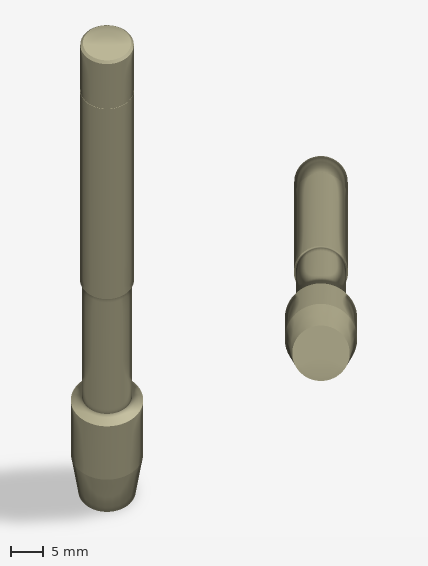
import math

import cadquery as cq

total_length = 100.0

head_diameter = 11.1
lead_tip_diameter = 8.8
lead_length = 8.4
head_cylinder_top = 20.3
head_back_diameter = 8.9

neck_diameter = 7.7
grip_diameter = 8.3
drive_end_diameter = 8.2
neck_top = 47.2
drive_end_chamfer = 0.4
drive_end_length = 10.4

back_cone_angle = 30.0
back_cone_slope = math.tan(math.radians(back_cone_angle))


def back_cone_height(diameter):
    """Height at which the back cone has the given diameter."""
    return head_cylinder_top + (head_diameter - diameter) / 2 * back_cone_slope


head_length = back_cone_height(head_back_diameter)


def revolve_profile(points):
    """Revolve a closed (radius, height) outline about the Z axis."""
    return cq.Workplane("XZ").polyline(points).close().revolve(360, (0, 0), (0, 1))


def make_head():
    """Threading head, with its lead tip on the base plane."""
    head_radius = head_diameter / 2
    return revolve_profile([
        (0, 0),
        (lead_tip_diameter / 2, 0),
        (head_radius, lead_length),
        (head_radius, head_cylinder_top),
        (head_back_diameter / 2, head_length),
        (0, head_length),
    ])


def make_shank():
    """Cone, neck, grip and drive end, standing on the flat end of the head."""
    neck_radius = neck_diameter / 2
    grip_radius = grip_diameter / 2
    drive_end_radius = drive_end_diameter / 2
    drive_end_base = total_length - drive_end_length
    return revolve_profile([
        (0, head_length),
        (head_back_diameter / 2, head_length),
        (neck_radius, back_cone_height(neck_diameter)),
        (neck_radius, neck_top),
        (grip_radius, neck_top),
        (grip_radius, drive_end_base),
        (drive_end_radius, drive_end_base),
        (drive_end_radius, total_length - drive_end_chamfer),
        (drive_end_radius - drive_end_chamfer, total_length),
        (0, total_length),
    ])


head = make_head()
shank = make_shank()

result = cq.Compound.makeCompound([head.val(), shank.val()])